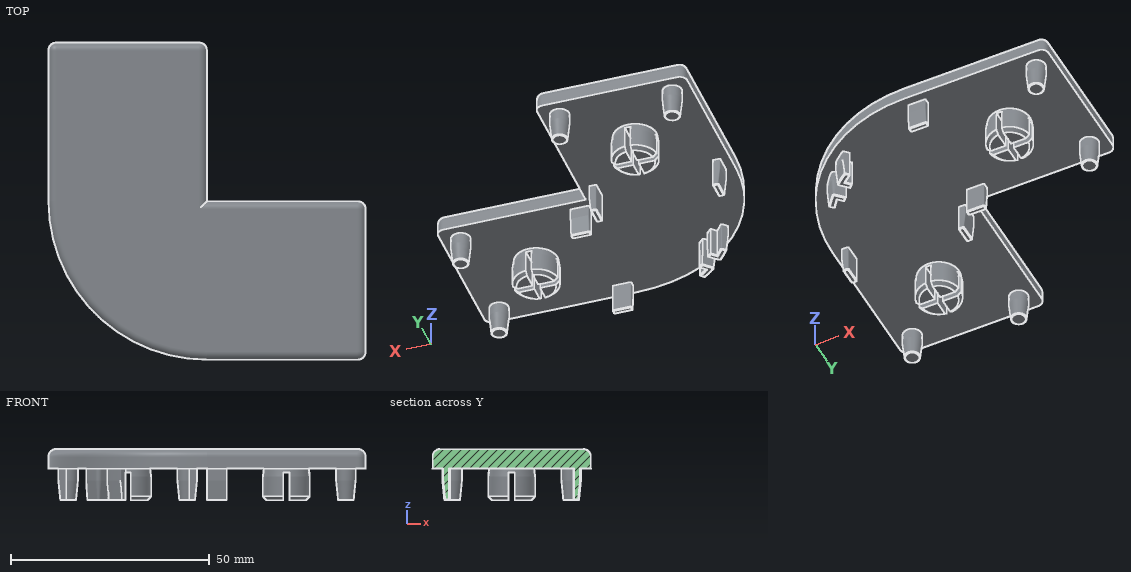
import cadquery as cq
import math


ARM = 40.0
PLATE_HEIGHT = 5.0
EDGE_RADIUS = 2.0

STUD_DEPTH = 8.0
DRAFT_START = 3.0
DRAFT_INSET = 0.5
TIP_CHAMFER = 0.2
WALL_INSET = 2.5

PIN_RADIUS = 2.5
PIN_INSET = 5.0

PLUG_RADIUS = 6.0
PLUG_NECK_RADIUS = 5.7
PLUG_NECK_DEPTH = 2.0
PLUG_CHAMFER = 1.0
SLOT_WIDTH = 1.5
SLOT_START = 1.0

RIB_LENGTH = 5.0
RIB_THICKNESS = 2.0
RIB_CORNER_RADIUS = 0.3

CORNER_RIB_GAP = 2.4
CORNER_RIB_LENGTH = 5.0
CORNER_RIB_NOSE_RADIUS = 1.0
CORNER_RIB_LEG_DEPTH = 4.0
CORNER_RIB_LEG_WIDTH = 2.0

DRAFT_LENGTH = STUD_DEPTH - DRAFT_START
DRAFT_ANGLE = math.degrees(math.atan2(DRAFT_INSET, DRAFT_LENGTH))


def mirrored(shape):
    """The shape together with its reflection in the plane x = y."""
    return shape.union(shape.mirror(cq.Vector(1, -1, 0), (0, 0, 0)))


def cover_plate():
    mid_arc = -ARM * math.sqrt(0.5)
    plate = (
        cq.Workplane("XY")
        .moveTo(0, 0)
        .lineTo(0, ARM)
        .lineTo(-ARM, ARM)
        .lineTo(-ARM, 0)
        .threePointArc((mid_arc, mid_arc), (0, -ARM))
        .lineTo(ARM, -ARM)
        .lineTo(ARM, 0)
        .close()
        .extrude(PLATE_HEIGHT)
    )
    arm_ends = plate.edges("|Z and >Y").add(plate.edges("|Z and >X"))
    return arm_ends.fillet(EDGE_RADIUS).faces(">Z").edges().fillet(EDGE_RADIUS)


def turned(profile, x, y):
    """Solid of revolution about a vertical axis from (radius, depth) points."""
    points = [(-radius, -depth) for radius, depth in profile]
    body = cq.Workplane("XZ").polyline(points).close().revolve(360, (0, 0), (0, 1))
    return body.translate((x, y, 0))


def pin(x, y):
    tip_radius = PIN_RADIUS - DRAFT_INSET
    profile = [
        (0, 0),
        (PIN_RADIUS, 0),
        (PIN_RADIUS, DRAFT_START),
        (tip_radius, STUD_DEPTH),
        (0, STUD_DEPTH),
    ]
    return turned(profile, x, y).faces("<Z").chamfer(TIP_CHAMFER)


def snap_plug(x, y):
    profile = [
        (0, 0),
        (PLUG_NECK_RADIUS, 0),
        (PLUG_RADIUS, PLUG_NECK_DEPTH),
        (PLUG_RADIUS, STUD_DEPTH - PLUG_CHAMFER),
        (PLUG_RADIUS - PLUG_CHAMFER, STUD_DEPTH),
        (0, STUD_DEPTH),
    ]
    plug = turned(profile, x, y)
    slot = cq.Workplane("XY", origin=(x, y, -SLOT_START))
    for length, width in ((2 * PLUG_RADIUS, SLOT_WIDTH), (SLOT_WIDTH, 2 * PLUG_RADIUS)):
        plug = plug.cut(slot.rect(length, width).extrude(-STUD_DEPTH))
    return plug


def straight_rib(outer_x, inward):
    """Rib along Y with its drafted face at outer_x; inward is +1 or -1 along X."""
    back_x = outer_x + inward * RIB_THICKNESS
    rib = (
        cq.Workplane("XZ")
        .moveTo(back_x, 0)
        .lineTo(outer_x, 0)
        .lineTo(outer_x, -DRAFT_START)
        .lineTo(outer_x + inward * DRAFT_INSET, -STUD_DEPTH)
        .lineTo(back_x, -STUD_DEPTH)
        .close()
        .extrude(-RIB_LENGTH)
    )
    rib = rib.edges("not(#Z or |Y)").fillet(RIB_CORNER_RADIUS)
    return rib.faces("<Z").chamfer(TIP_CHAMFER)


def corner_rib():
    """Rib on the -X side of the rounded corner, drafted outside and at the nose by the gap.

    It is drawn with the corner's bisector along -Y, then turned into place.
    """
    outer = ARM - WALL_INSET
    inner = outer - RIB_THICKNESS
    near = -CORNER_RIB_GAP / 2
    far = near - CORNER_RIB_LENGTH
    leg = near - CORNER_RIB_LEG_WIDTH
    leg_back = CORNER_RIB_LEG_DEPTH - outer

    def on_arc(x, radius):
        return (x, -math.sqrt(radius**2 - x**2))

    footprint = (
        cq.Workplane("XY")
        .moveTo(*on_arc(near, outer))
        .threePointArc(on_arc((near + far) / 2, outer), on_arc(far, outer))
        .lineTo(*on_arc(far, inner))
        .threePointArc(on_arc((leg + far) / 2, inner), on_arc(leg, inner))
        .lineTo(leg, leg_back)
        .lineTo(near, leg_back)
        .close()
        .extrude(-STUD_DEPTH)
    )
    far_corners = cq.selectors.BoxSelector(
        (far - RIB_CORNER_RADIUS, -outer, -STUD_DEPTH),
        (far + RIB_CORNER_RADIUS, leg_back, 0),
    )
    footprint = footprint.edges("|Z").edges(far_corners).fillet(RIB_CORNER_RADIUS)

    envelope_end = far - RIB_THICKNESS
    envelope_back = leg_back + RIB_THICKNESS
    envelope = (
        cq.Workplane("XY")
        .moveTo(*on_arc(near, outer))
        .threePointArc(on_arc((near + envelope_end) / 2, outer), on_arc(envelope_end, outer))
        .lineTo(envelope_end, envelope_back)
        .lineTo(near, envelope_back)
        .close()
        .extrude(-DRAFT_START)
    )
    nose = cq.selectors.NearestToPointSelector((*on_arc(near, outer), -DRAFT_START / 2))
    envelope = envelope.edges(nose).fillet(CORNER_RIB_NOSE_RADIUS)
    drafted = (
        envelope.faces("<Z").wires().toPending()
        .extrude(-DRAFT_LENGTH, taper=DRAFT_ANGLE, combine=False)
    )
    rib = footprint.intersect(envelope.union(drafted)).faces("<Z").chamfer(TIP_CHAMFER)
    return rib.rotate((0, 0, 0), (0, 0, 1), -45)


def underside():
    end = ARM - PIN_INSET
    wall = ARM - WALL_INSET
    middle = ARM / 2
    features = [
        pin(-end, end),
        pin(-PIN_INSET, end),
        snap_plug(-middle, middle),
        straight_rib(-wall, 1),
        straight_rib(-WALL_INSET, -1),
        corner_rib(),
    ]
    body = features[0]
    for feature in features[1:]:
        body = body.union(feature)
    return mirrored(body)


result = cover_plate().union(underside())